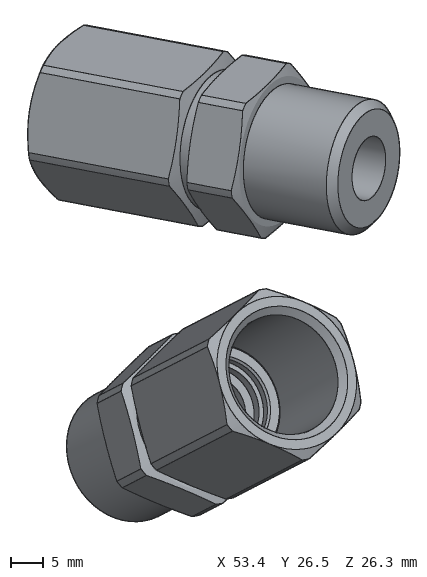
import cadquery as cq
import math

total_length = 53.4
nut_length = 26.4
collar_end = 28.45
hex_end = 37.4

across_flats = 24.05
corner_radius = 13.5
hex_turn = -16.0

steep_angle = 30.0
shallow_angle = 15.0
nut_left_face = across_flats
nut_right_face = 22.1
hex_left_face = 22.95
hex_right_face = 23.3

bore_diameter = 18.8
bore_mouth_diameter = 21.0

spigot_start = 19.75
spigot_tip_diameter = 18.25
collar_diameter = 21.8
tube_diameter = 21.0
tube_chamfer = 1.3

seat_mouth_diameter = 15.2
seat_diameter = 14.5
seat_depth = 1.6
recess_diameter = 13.0
recess_depth = 1.6
passage_diameter = 10.0


def revolve_profile(points):
    """Revolve a closed outline of (x, radius) points about the X axis."""
    return cq.Workplane("XY").polyline(points).close().revolve(360, (0, 0, 0), (1, 0, 0))


def chamfer_length(face_diameter, angle):
    """Axial length of a chamfer that runs from an end face out to the corners."""
    return (corner_radius - face_diameter / 2) * math.tan(math.radians(angle))


def hex_bar(start, end, left_face_diameter, left_angle, right_face_diameter, right_angle):
    """Hexagonal bar along X with rounded corners and conical end chamfers."""
    length = end - start
    bar = (
        cq.Workplane("YZ", origin=(start, 0, 0))
        .polygon(6, across_flats, circumscribed=True)
        .extrude(length)
        .rotate((0, 0, 0), (1, 0, 0), hex_turn)
    )
    left_chamfer = chamfer_length(left_face_diameter, left_angle)
    right_chamfer = chamfer_length(right_face_diameter, right_angle)
    turned_envelope = revolve_profile([
        (start, 0),
        (start, left_face_diameter / 2),
        (start + left_chamfer, corner_radius),
        (end - right_chamfer, corner_radius),
        (end, right_face_diameter / 2),
        (end, 0),
    ])
    return bar.intersect(turned_envelope)


def make_nut():
    """Hexagonal nut with a through bore countersunk at its open end."""
    mouth_chamfer = (bore_mouth_diameter - bore_diameter) / 2
    bore = revolve_profile([
        (0, 0),
        (0, bore_mouth_diameter / 2),
        (mouth_chamfer, bore_diameter / 2),
        (nut_length, bore_diameter / 2),
        (nut_length, 0),
    ])
    hexagon = hex_bar(0, nut_length, nut_left_face, steep_angle, nut_right_face, shallow_angle)
    return hexagon.cut(bore)


def make_fitting():
    """Spigot, collar, hexagon and tube in one piece with a stepped passage."""
    spigot_chamfer = (bore_diameter - spigot_tip_diameter) / 2
    turned_body = revolve_profile([
        (spigot_start, 0),
        (spigot_start, spigot_tip_diameter / 2),
        (spigot_start + spigot_chamfer, bore_diameter / 2),
        (nut_length, bore_diameter / 2),
        (nut_length, collar_diameter / 2),
        (collar_end, collar_diameter / 2),
        (collar_end, tube_diameter / 2),
        (total_length - tube_chamfer, tube_diameter / 2),
        (total_length, tube_diameter / 2 - tube_chamfer),
        (total_length, 0),
    ])

    seat_chamfer = (seat_mouth_diameter - seat_diameter) / 2
    seat_end = spigot_start + seat_depth
    recess_end = seat_end + recess_depth
    passage = revolve_profile([
        (spigot_start, 0),
        (spigot_start, seat_mouth_diameter / 2),
        (spigot_start + seat_chamfer, seat_diameter / 2),
        (seat_end, seat_diameter / 2),
        (seat_end, recess_diameter / 2),
        (recess_end, recess_diameter / 2),
        (recess_end, passage_diameter / 2),
        (total_length, passage_diameter / 2),
        (total_length, 0),
    ])
    hexagon = hex_bar(collar_end, hex_end, hex_left_face, shallow_angle, hex_right_face, shallow_angle)
    return turned_body.union(hexagon).cut(passage)


nut = make_nut()
fitting = make_fitting()

result = cq.Compound.makeCompound([nut.solids().val(), fitting.solids().val()])